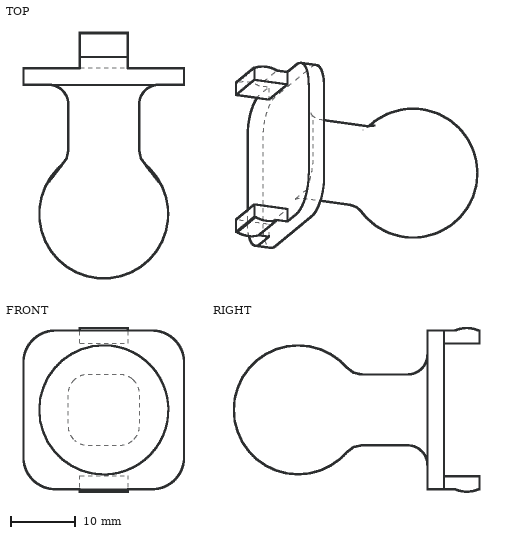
import cadquery as cq

ball_diameter = 20.0
ball_radius = ball_diameter / 2

total_length = 38.1
tip_y = total_length - ball_radius

plate_width = 24.9
plate_height = 24.6
plate_thickness = 2.6
plate_corner_radius = 5.0
clip_length = 5.52
plate_back_y = tip_y - clip_length
plate_front_y = plate_back_y - plate_thickness

neck_width = 11.0
neck_corner_radius = 3.05
blend_radius = 3.0

clip_width = 7.5
clip_thickness = 2.05
bead_height = 0.38
bead_length = 3.6
tip_land = 0.2


def rounded_bar(width, height, corner_radius, start_y, end_y):
    """Rectangular bar along Y with rounded long edges."""
    length = end_y - start_y
    return (
        cq.Workplane("XY")
        .box(width, length, height)
        .edges("|Y")
        .fillet(corner_radius)
        .translate((0, start_y + length / 2, 0))
    )


def clip():
    """Upper clip: a flat tongue with a rounded bead on its outer face."""
    outer_z = plate_height / 2
    inner_z = outer_z - clip_thickness
    bead_end_y = tip_y - tip_land
    bead_start_y = bead_end_y - bead_length
    bead_middle_y = bead_end_y - bead_length / 2
    return (
        cq.Workplane("YZ")
        .moveTo(plate_front_y, inner_z)
        .lineTo(plate_front_y, outer_z)
        .lineTo(bead_start_y, outer_z)
        .threePointArc((bead_middle_y, outer_z + bead_height), (bead_end_y, outer_z))
        .lineTo(tip_y, outer_z)
        .lineTo(tip_y, inner_z)
        .close()
        .extrude(clip_width / 2, both=True)
    )


ball = cq.Workplane("XY").sphere(ball_radius)
neck = rounded_bar(neck_width, neck_width, neck_corner_radius, 0, plate_front_y)
plate = rounded_bar(plate_width, plate_height, plate_corner_radius, plate_front_y, plate_back_y)

stem = ball.union(neck).union(plate)

selection_margin = 0.38
joint_reach = neck_width / 2 + selection_margin
joint_region = cq.selectors.BoxSelector(
    (-joint_reach, ball_radius / 2, -joint_reach),
    (joint_reach, plate_front_y + selection_margin, joint_reach),
)
long_edges = cq.selectors.StringSyntaxSelector("|Y")
stem = stem.edges(joint_region - long_edges).fillet(blend_radius)

upper_clip = clip()
lower_clip = upper_clip.mirror("XY")
result = stem.union(upper_clip).union(lower_clip)